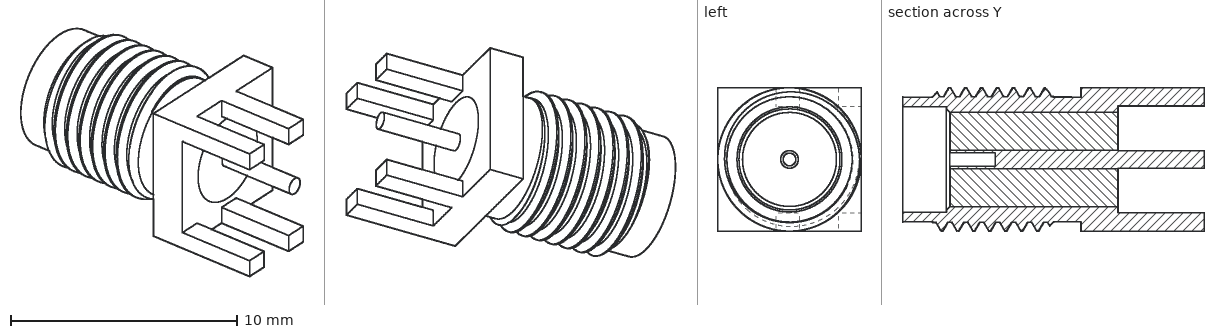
import cadquery as cq
import math


overall_length = 13.33
leg_length = 3.81
flange_thickness = 1.65
flange_rear = overall_length - leg_length
flange_front = flange_rear - flange_thickness

flange_size = 6.35
leg_width = 1.03
leg_thickness = 0.82
leg_gap = 1.72

barrel_radius = 2.77
thread_start = 1.31
thread_end = 6.68
inch = 25.4
threads_per_inch = 36
thread_pitch = inch / threads_per_inch
thread_major_radius = flange_size / 2
thread_half_angle = math.radians(30)
crest_flat = thread_pitch / 8
root_flat = thread_pitch / 4
thread_depth = (thread_pitch - crest_flat - root_flat) / 2 / math.tan(thread_half_angle)
thread_root_radius = thread_major_radius - thread_depth
top_crest_position = 2.08
ridge_embed = 0.05
ridge_clearance = 0.2

bore_radius = 2.325
bore_depth = 1.93
funnel_radius = 2.235
insulator_radius = 2.08
insulator_front = bore_depth + funnel_radius - insulator_radius

contact_radius = 0.39
socket_radius = 0.28
socket_depth = 2.0


def rod(radius, start, end):
    """Round bar on the X axis between two X positions."""
    return cq.Workplane("YZ").workplane(offset=start).circle(radius).extrude(end - start)


def thread_ridge():
    """Helical ridge with a flat crest, running past both ends of the threaded length."""
    crest_half = crest_flat / 2
    root_half = (thread_pitch - root_flat) / 2
    foot_radius = thread_root_radius - ridge_embed
    foot_half = root_half + ridge_embed * math.tan(thread_half_angle)

    turns_before = math.ceil((top_crest_position - thread_start) / thread_pitch) + 1
    sweep_start = top_crest_position - turns_before * thread_pitch
    sweep_turns = math.ceil((thread_end - sweep_start) / thread_pitch) + 1
    sweep_length = sweep_turns * thread_pitch
    helix = cq.Workplane(cq.Wire.makeHelix(thread_pitch, sweep_length, thread_root_radius))

    ridge = (
        cq.Workplane("XZ")
        .moveTo(foot_radius, -foot_half)
        .lineTo(thread_major_radius, -crest_half)
        .lineTo(thread_major_radius, crest_half)
        .lineTo(foot_radius, foot_half)
        .close()
        .sweep(helix, isFrenet=True)
    )
    ridge = ridge.rotate((0, 0, 0), (1, 1, 1), 120)
    ridge = ridge.rotate((0, 0, 0), (1, 0, 0), 90)
    return ridge.translate((sweep_start, 0, 0))


def bevelled_blank(outer_radius):
    """Round bar over the threaded length, rising at 45 degrees from the barrel at both ends."""
    rise = outer_radius - barrel_radius
    return (
        cq.Workplane("XY")
        .moveTo(thread_start, 0)
        .lineTo(thread_start, barrel_radius)
        .lineTo(thread_start + rise, outer_radius)
        .lineTo(thread_end - rise, outer_radius)
        .lineTo(thread_end, barrel_radius)
        .lineTo(thread_end, 0)
        .close()
        .revolve(360, (0, 0, 0), (1, 0, 0))
    )


def threaded_sleeve():
    """Threaded length of the barrel: a root cylinder carrying the ridge, bevelled at both ends."""
    ridge = thread_ridge().intersect(bevelled_blank(thread_major_radius + ridge_clearance))
    return bevelled_blank(thread_root_radius).union(ridge)


def flange_with_legs():
    """Square flange with a corner leg and a middle leg along both its top and bottom edges."""
    body = cq.Workplane("YZ").workplane(offset=flange_front).rect(flange_size, flange_size)
    body = body.extrude(flange_thickness)
    corner_leg_y = (leg_width - flange_size) / 2
    leg_height = (flange_size - leg_thickness) / 2
    for leg_y in (corner_leg_y, corner_leg_y + leg_width + leg_gap):
        for leg_z in (-leg_height, leg_height):
            leg = (
                cq.Workplane("YZ")
                .workplane(offset=flange_rear)
                .center(leg_y, leg_z)
                .rect(leg_width, leg_thickness)
                .extrude(leg_length)
            )
            body = body.union(leg)
    return body


def stepped_bore():
    """Space inside the housing: mating bore, funnel and insulator seat."""
    return (
        cq.Workplane("XY")
        .lineTo(0, bore_radius)
        .lineTo(bore_depth, bore_radius)
        .lineTo(bore_depth, funnel_radius)
        .lineTo(insulator_front, insulator_radius)
        .lineTo(flange_rear, insulator_radius)
        .lineTo(flange_rear, 0)
        .close()
        .revolve(360, (0, 0, 0), (1, 0, 0))
    )


def make_housing():
    """Threaded barrel, flange and legs in one piece."""
    housing = rod(barrel_radius, 0, thread_start).union(threaded_sleeve())
    housing = housing.union(rod(barrel_radius, thread_end, flange_front))
    housing = housing.union(flange_with_legs())
    return housing.cut(stepped_bore())


def make_insulator():
    """Plastic core that fills the housing and holds the contact."""
    contact_hole = rod(contact_radius, insulator_front, flange_rear)
    return rod(insulator_radius, insulator_front, flange_rear).cut(contact_hole)


def make_contact():
    """Round centre contact with a socket in its front end and a tail as long as the legs."""
    contact = rod(contact_radius, insulator_front, overall_length)
    return contact.cut(rod(socket_radius, insulator_front, insulator_front + socket_depth))


housing = make_housing()
insulator = make_insulator()
contact = make_contact()
bodies = [*housing.solids().vals(), *insulator.solids().vals(), *contact.solids().vals()]
result = cq.Compound.makeCompound(bodies)